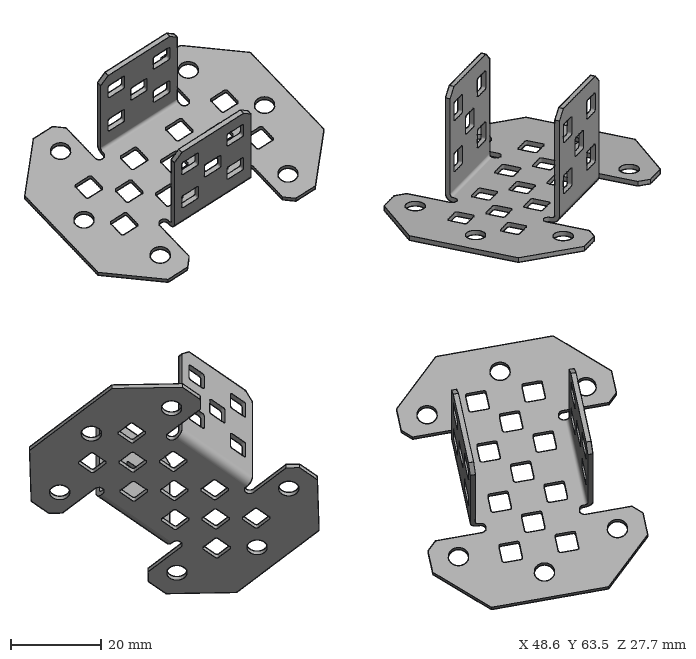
import cadquery as cq
import math

PLATE_WIDTH = 48.62
PLATE_LENGTH = 63.5
TOTAL_HEIGHT = 27.71
THICKNESS = 1.17
INSIDE_BEND_RADIUS = 0.76
OUTSIDE_BEND_RADIUS = INSIDE_BEND_RADIUS + THICKNESS

END_EDGE_WIDTH = 26.5
WING_INNER_Y = 13.12
CORNER_CHAMFER = 2.12

FLANGE_WIDTH = 21.6
FLANGE_OUTER_X = 13.87
RELIEF_TIP_X = 10.55
RELIEF_RADIUS = (WING_INNER_Y - FLANGE_WIDTH / 2) / 2

PITCH = 12.7
HALF_PITCH = PITCH / 2
SQUARE_SIZE = 4.62
SQUARE_CORNER_RADIUS = 0.5
ROUND_DIAMETER = 4.5
ROUND_CIRCLE_RADIUS = 2 * PITCH
ROUND_ANGLES = (45, 90, 135, 225, 270, 315)


def square_cutters(plane, normal_axis, centers, depth):
    """Rounded square prisms on the given plane, extending by depth to both sides of it."""
    return (
        cq.Workplane(plane)
        .pushPoints(centers)
        .rect(SQUARE_SIZE, SQUARE_SIZE)
        .extrude(depth, both=True)
        .edges("|" + normal_axis)
        .fillet(SQUARE_CORNER_RADIUS)
    )


def make_wing():
    """Chamfered wing at the +Y end of the plate."""
    half_width = PLATE_WIDTH / 2
    half_length = PLATE_LENGTH / 2
    half_end = END_EDGE_WIDTH / 2
    shoulder_y = half_length - (half_width - half_end)
    right_side = [
        (half_width - CORNER_CHAMFER, WING_INNER_Y),
        (half_width, WING_INNER_Y + CORNER_CHAMFER),
        (half_width, shoulder_y),
        (half_end, half_length),
    ]
    left_side = [(-x, y) for x, y in reversed(right_side)]
    return cq.Workplane("XY").polyline(right_side + left_side).close().extrude(THICKNESS)


def make_relief_slots():
    """Round-ended slots separating each bend from the wings, open toward the plate sides."""
    slot_length = FLANGE_OUTER_X - RELIEF_TIP_X + RELIEF_RADIUS
    center_x = RELIEF_TIP_X + slot_length / 2
    center_y = WING_INNER_Y - RELIEF_RADIUS
    centers = [(side_x * center_x, side_y * center_y) for side_x in (-1, 1) for side_y in (-1, 1)]
    return cq.Workplane("XY").pushPoints(centers).slot2D(slot_length, 2 * RELIEF_RADIUS).extrude(THICKNESS)


def make_plate():
    """Flat plate: two wings joined by a web that ends where the bends begin."""
    web_width = 2 * (FLANGE_OUTER_X - OUTSIDE_BEND_RADIUS)
    web = cq.Workplane("XY").rect(web_width, 2 * WING_INNER_Y).extrude(THICKNESS)
    wing = make_wing()
    return web.union(wing).union(wing.mirror("XZ")).cut(make_relief_slots())


def make_flange():
    """Upright flange on the +X side, with its bend, top chamfers and square holes."""
    bend_start_x = FLANGE_OUTER_X - OUTSIDE_BEND_RADIUS
    inner_x = FLANGE_OUTER_X - THICKNESS
    diagonal = math.cos(math.radians(45))
    outer_mid = (
        bend_start_x + OUTSIDE_BEND_RADIUS * diagonal,
        OUTSIDE_BEND_RADIUS * (1 - diagonal),
    )
    inner_mid = (
        bend_start_x + INSIDE_BEND_RADIUS * diagonal,
        OUTSIDE_BEND_RADIUS - INSIDE_BEND_RADIUS * diagonal,
    )
    flange = (
        cq.Workplane("XZ")
        .moveTo(bend_start_x, 0)
        .threePointArc(outer_mid, (FLANGE_OUTER_X, OUTSIDE_BEND_RADIUS))
        .lineTo(FLANGE_OUTER_X, TOTAL_HEIGHT)
        .lineTo(inner_x, TOTAL_HEIGHT)
        .lineTo(inner_x, OUTSIDE_BEND_RADIUS)
        .threePointArc(inner_mid, (bend_start_x, THICKNESS))
        .close()
        .extrude(FLANGE_WIDTH / 2, both=True)
    )
    flange = flange.faces(">Z").edges("|X").chamfer(CORNER_CHAMFER)

    middle_z = TOTAL_HEIGHT - PITCH
    centers = [(0, middle_z)]
    for side_y in (-HALF_PITCH, HALF_PITCH):
        for side_z in (-HALF_PITCH, HALF_PITCH):
            centers.append((side_y, middle_z + side_z))
    return flange.cut(square_cutters("YZ", "X", centers, PLATE_WIDTH))


def plate_square_holes():
    """Staggered square holes: two outer columns and a middle column offset by half a pitch."""
    outer = [(x * HALF_PITCH, y * HALF_PITCH) for x in (-1, 1) for y in (-3, -1, 1, 3)]
    middle = [(0, row * PITCH) for row in (-1, 0, 1)]
    return square_cutters("XY", "Z", outer + middle, 2 * THICKNESS)


def plate_round_holes():
    """Round holes on a circle about the plate center, at each end and on each wing."""
    centers = []
    for angle in ROUND_ANGLES:
        direction = math.radians(angle)
        x = ROUND_CIRCLE_RADIUS * math.cos(direction)
        y = ROUND_CIRCLE_RADIUS * math.sin(direction)
        centers.append((x, y))
    return cq.Workplane("XY").pushPoints(centers).circle(ROUND_DIAMETER / 2).extrude(THICKNESS)


plate = make_plate().cut(plate_square_holes()).cut(plate_round_holes())
right_flange = make_flange()
result = plate.union(right_flange).union(right_flange.mirror("YZ"))